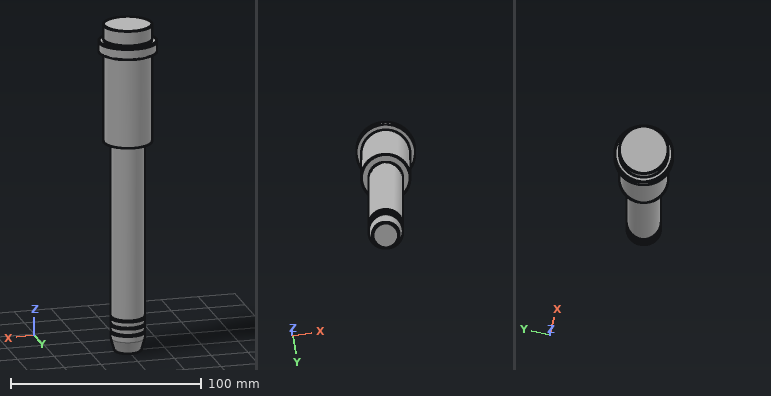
import cadquery as cq

total_length = 180.0
collar_top = total_length - 9.0
collar_height = 6.0
collar_bottom = collar_top - collar_height
body_bottom = total_length - 64.8
taper_height = 7.0

collar_diameter = 31.0
body_diameter = 26.0
shaft_diameter = 18.2
tip_diameter = 14.2

collar_chamfer = 0.5
body_chamfer = 0.4
tip_chamfer = 0.5

relief_height = 1.0
relief_depth = 0.2
relief_ramp = 0.5
neck_height = 1.0
neck_depth = 0.5

groove_count = 3
groove_pitch = 4.0
groove_height = 1.0
groove_depth = 0.4
lowest_groove_center = 10.8


def cylinder(diameter, bottom, top):
    return cq.Workplane("XY").workplane(offset=bottom).circle(diameter / 2).extrude(top - bottom)


def ring_groove(diameter, bottom, height, depth):
    """Square-sided ring cutter below the surface of a cylinder."""
    return cylinder(diameter, bottom, bottom + height).cut(
        cylinder(diameter - 2 * depth, bottom, bottom + height)
    )


def revolved_groove(profile):
    """Ring cutter from (radius, height) points, revolved about the Z axis."""
    return cq.Workplane("XZ").polyline(profile).close().revolve(360, (0, 0, 0), (0, 1, 0))


def v_groove(center):
    radius = shaft_diameter / 2
    return revolved_groove([
        (radius, center - groove_height / 2),
        (radius - groove_depth, center),
        (radius, center + groove_height / 2),
    ])


def collar_relief(collar_face, direction):
    """Shallow undercut running from a collar face (direction +1 up, -1 down), with a ramped end."""
    outer_radius = body_diameter / 2
    root_radius = outer_radius - relief_depth
    return revolved_groove([
        (outer_radius, collar_face),
        (root_radius, collar_face),
        (root_radius, collar_face + direction * (relief_height - relief_ramp)),
        (outer_radius, collar_face + direction * relief_height),
    ])


tip = (
    cq.Workplane("XY")
    .circle(tip_diameter / 2)
    .workplane(offset=taper_height)
    .circle(shaft_diameter / 2)
    .loft(ruled=True)
    .faces("<Z")
    .chamfer(tip_chamfer)
)

shaft = cylinder(shaft_diameter, taper_height, body_bottom)
for index in range(groove_count):
    shaft = shaft.cut(v_groove(lowest_groove_center + index * groove_pitch))
shaft = shaft.cut(ring_groove(shaft_diameter, body_bottom - neck_height, neck_height, neck_depth))

body = cylinder(body_diameter, body_bottom, total_length).faces("<Z or >Z").chamfer(body_chamfer)
body = body.cut(collar_relief(collar_top, 1))
body = body.cut(collar_relief(collar_bottom, -1))

collar = cylinder(collar_diameter, collar_bottom, collar_top).faces(">Z").chamfer(collar_chamfer)

result = tip.union(shaft).union(body).union(collar)